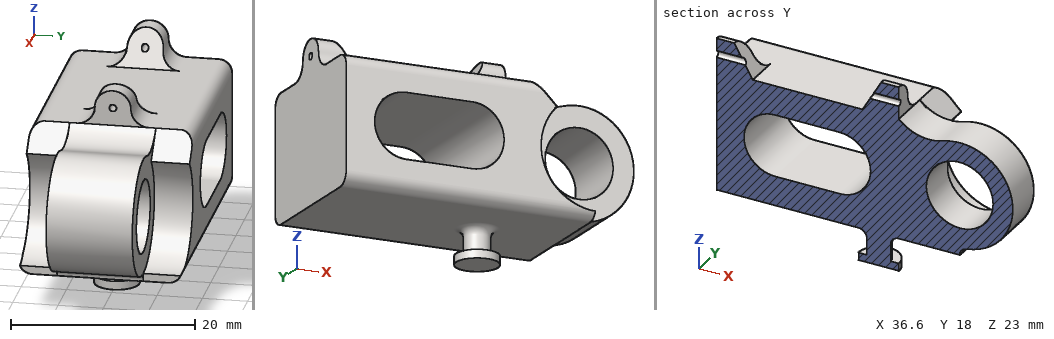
import cadquery as cq
import math

block_width = 18.0
block_height = 15.0
edge_radius = 1.5
top_length = 22.5
bottom_length = 30.0

ring_x = bottom_length
ring_z = block_height / 2
ring_radius = 6.6
bore_diameter = 8.15
ring_width = 9.5
upper_blend_radius = 5.25
lower_blend_radius = 1.0

slot_length = 15.55
slot_height = 7.6
slot_x = 11.2

eyelet_height = 4.0
eyelet_radius = eyelet_height / 2
eyelet_top_length = 2.2
eyelet_slope = 60
eyelet_hole_diameter = 0.75

shank_diameter = 3.0
head_diameter = 5.0
head_thickness = 1.0
pin_length = 4.02
pin_fillet = 1.0
pin_x = top_length - head_diameter / 2


def side_plate(outline, width):
    """Extrude an XZ outline symmetrically about Y = 0."""
    return outline.extrude(width / 2, both=True)


def blend_points(corner_x, corner_z, radius, turn):
    """Middle and end of a concave arc from a block corner, tangent to the ring.

    turn is -1 or 1 and picks the side of the corner on which the arc lies.
    """
    dx = corner_x - ring_x
    dz = corner_z - ring_z
    corner_distance = math.hypot(dx, dz)
    center_distance = ring_radius + radius
    cosine = (corner_distance**2 + center_distance**2 - radius**2) / (2 * corner_distance * center_distance)
    direction = math.atan2(dz, dx) + turn * math.acos(cosine)
    center_x = ring_x + center_distance * math.cos(direction)
    center_z = ring_z + center_distance * math.sin(direction)
    end = (ring_x + ring_radius * math.cos(direction), ring_z + ring_radius * math.sin(direction))
    chord_x = (corner_x + end[0]) / 2 - center_x
    chord_z = (corner_z + end[1]) / 2 - center_z
    stretch = radius / math.hypot(chord_x, chord_z)
    middle = (center_x + stretch * chord_x, center_z + stretch * chord_z)
    return middle, end


def make_block():
    block = cq.Workplane("YZ").rect(block_width, block_height).extrude(bottom_length)
    block = block.edges("|X").fillet(edge_radius).translate((0, 0, ring_z))
    corner_cut = (
        cq.Workplane("XZ")
        .moveTo(top_length, block_height)
        .lineTo(bottom_length, block_height - (bottom_length - top_length))
        .lineTo(bottom_length, block_height)
        .close()
    )
    ring_recess = cq.Workplane("XZ").center(ring_x, ring_z).circle(ring_radius)
    return block.cut(side_plate(corner_cut, block_width)).cut(side_plate(ring_recess, block_width))


def make_ring():
    upper_middle, upper_end = blend_points(top_length, block_height, upper_blend_radius, -1)
    lower_middle, lower_end = blend_points(bottom_length, 0, lower_blend_radius, 1)
    outline = (
        cq.Workplane("XZ")
        .moveTo(top_length, 0)
        .lineTo(top_length, block_height)
        .threePointArc(upper_middle, upper_end)
        .threePointArc((ring_x + ring_radius, ring_z), lower_end)
        .threePointArc(lower_middle, (bottom_length, 0))
        .close()
    )
    return side_plate(outline, ring_width)


def make_eyelet():
    """Eyelet with its upright face at X = 0 and its sloping face towards +X."""
    diagonal = eyelet_radius * math.sqrt(0.5)
    eye_z = eyelet_height - eyelet_radius
    base_length = eyelet_top_length + eyelet_height / math.tan(math.radians(eyelet_slope))
    foot = 2 * eyelet_radius
    profile = (
        cq.Workplane("YZ")
        .moveTo(-foot, 0)
        .threePointArc((-foot + diagonal, eye_z - diagonal), (-eyelet_radius, eye_z))
        .threePointArc((0, eyelet_height), (eyelet_radius, eye_z))
        .threePointArc((foot - diagonal, eye_z - diagonal), (foot, 0))
        .close()
        .extrude(base_length)
    )
    side_outline = (
        cq.Workplane("XZ")
        .lineTo(base_length, 0)
        .lineTo(eyelet_top_length, eyelet_height)
        .lineTo(0, eyelet_height)
        .close()
    )
    hole = cq.Workplane("YZ").center(0, eye_z).circle(eyelet_hole_diameter / 2).extrude(base_length)
    return profile.intersect(side_plate(side_outline, 2 * foot)).cut(hole)


def make_pin():
    shank_radius = shank_diameter / 2
    head_radius = head_diameter / 2
    diagonal = pin_fillet * math.sqrt(0.5)
    fillet_radius = shank_radius + pin_fillet
    half_section = (
        cq.Workplane("XZ")
        .lineTo(fillet_radius, 0)
        .threePointArc((fillet_radius - diagonal, diagonal - pin_fillet), (shank_radius, -pin_fillet))
        .lineTo(shank_radius, head_thickness - pin_length)
        .lineTo(head_radius, head_thickness - pin_length)
        .lineTo(head_radius, -pin_length)
        .lineTo(0, -pin_length)
        .close()
    )
    return half_section.revolve(360, (0, 0, 0), (0, 1, 0)).translate((pin_x, 0, 0))


slot = side_plate(cq.Workplane("XZ").center(slot_x, ring_z).slot2D(slot_length, slot_height), block_width)
bore = side_plate(cq.Workplane("XZ").center(ring_x, ring_z).circle(bore_diameter / 2), ring_width)

front_eyelet = make_eyelet().translate((0, 0, block_height))
rear_eyelet = make_eyelet().mirror("YZ").translate((top_length, 0, block_height))

result = make_block().union(make_ring()).cut(slot).cut(bore)
for feature in (front_eyelet, rear_eyelet, make_pin()):
    result = result.union(feature)